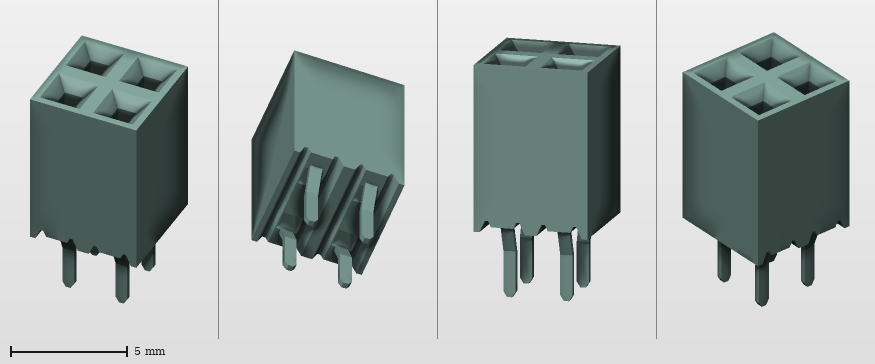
import cadquery as cq

pitch = 2.54
housing_width = 2 * pitch
total_height = 10.46
contact_places = [-pitch / 2, pitch / 2]

foot_z = 3.08
land_z = 3.33
notch_top_z = 3.6
land_half_width = 0.5
notch_inner_offset = 0.63
notch_outer_offset = 0.77
foot_offset = 1.01

funnel_width = 1.9
hole_width = 0.88
funnel_depth = (funnel_width - hole_width) / 2

pin_width = 0.54
pin_thickness = 0.26
bend_z = 2.04
bend_shift = 0.5
tip_width = 0.23
tip_height = 0.25


def underside_cutter(x):
    """Clearance under one row of contacts: a raised land with a notch on each side."""
    half_outline = [
        (foot_offset, foot_z),
        (notch_outer_offset, notch_top_z),
        (notch_inner_offset, notch_top_z),
        (land_half_width, land_z),
    ]
    mirrored = [(-offset, z) for offset, z in reversed(half_outline)]
    outline = [(x + offset, z) for offset, z in half_outline + mirrored]
    return cq.Workplane("XZ").polyline(outline).close().extrude(housing_width / 2, both=True)


def contact_opening(x, y):
    """Square through hole with a tapered lead-in at the top face."""
    hole = (
        cq.Workplane("XY", origin=(x, y, foot_z))
        .rect(hole_width, hole_width)
        .extrude(total_height - foot_z)
    )
    funnel = (
        cq.Workplane("XY", origin=(x, y, total_height))
        .rect(funnel_width, funnel_width)
        .workplane(offset=-funnel_depth)
        .rect(hole_width, hole_width)
        .loft(ruled=True)
    )
    return hole.union(funnel)


def make_housing():
    body = (
        cq.Workplane("XY", origin=(0, 0, foot_z))
        .rect(housing_width, housing_width)
        .extrude(total_height - foot_z)
    )
    for x in contact_places:
        body = body.cut(underside_cutter(x))
        for y in contact_places:
            body = body.cut(contact_opening(x, y))
    return body.solids()


def make_pin(x, y):
    """Flat pin with a pointed tip, its upper part leaning away from the centre."""
    outward = 1 if y > 0 else -1
    inner_y = y - outward * pin_thickness / 2
    outer_y = y + outward * pin_thickness / 2
    lean = outward * bend_shift
    side_outline = [
        (inner_y, 0),
        (inner_y, bend_z),
        (inner_y + lean, land_z),
        (outer_y + lean, land_z),
        (outer_y, bend_z),
        (outer_y, 0),
    ]
    strip = (
        cq.Workplane("YZ", origin=(x, 0, 0))
        .polyline(side_outline)
        .close()
        .extrude(pin_width / 2, both=True)
    )
    face_outline = [
        (x - tip_width / 2, 0),
        (x + tip_width / 2, 0),
        (x + pin_width / 2, tip_height),
        (x + pin_width / 2, land_z),
        (x - pin_width / 2, land_z),
        (x - pin_width / 2, tip_height),
    ]
    face = cq.Workplane("XZ").polyline(face_outline).close().extrude(housing_width / 2, both=True)
    return strip.intersect(face).solids()


housing = make_housing()
pins = [make_pin(x, y).val() for x in contact_places for y in contact_places]

result = cq.Compound.makeCompound([housing.val(), *pins])